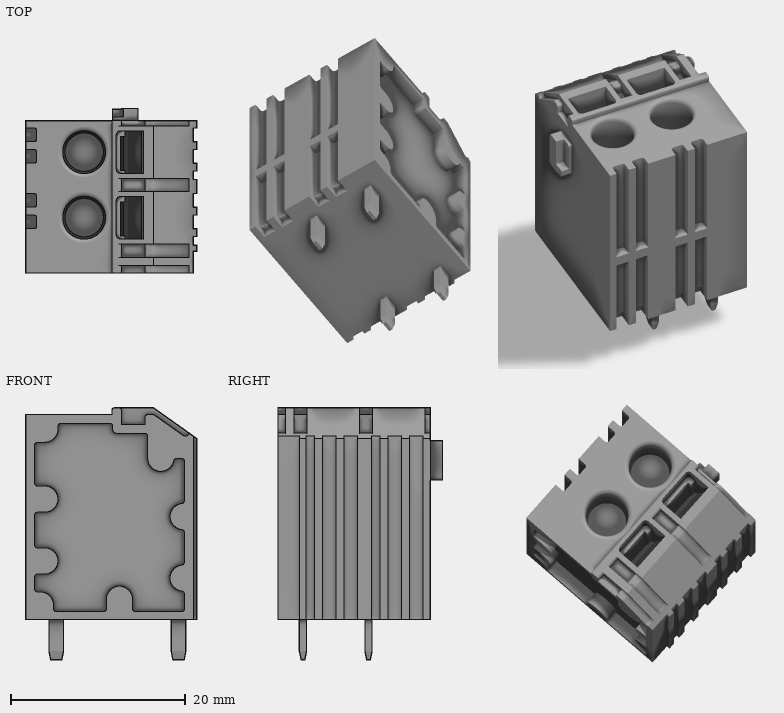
import cadquery as cq
import math


HOUSING_LENGTH = 19.2
HOUSING_WIDTH = 17.45
HOUSING_HEIGHT = 24.25
DECK_HEIGHT = 23.5
RIDGE_X = 9.87
SLOPE_START_X = 14.63
SLOPE_RATIO = 0.71
RIB_DEPTH = 0.4
OVERALL_LENGTH = HOUSING_LENGTH + RIB_DEPTH
RIDGE_ROUND = 0.3

PITCH = 7.5
FIRST_POLE_Y = 6.35
POLE_YS = [FIRST_POLE_Y, FIRST_POLE_Y + PITCH]

ENTRY_X = 6.7
ENTRY_DIAMETER = 4.9
ENTRY_FLOOR_DIAMETER = 4.4
ENTRY_STRAIGHT_DEPTH = 2.6
ENTRY_DEPTH = 5.0
ENTRY_ROUND = 0.5

POCKET_X_MIN = 10.37
POCKET_X_MAX = 13.48
POCKET_WIDTH = 4.85
POCKET_CORNER = 0.5
POCKET_FLOOR_Z = 20.5
SHELF_WIDTH = 0.22
WELL_BEND_X = 11.76
WELL_BEND_Z = 14.0
WELL_FOOT_X = 11.2
WELL_FOOT_Z = 12.9
WELL_X_MIN = 11.1
WELL_LIP_ROUND = 0.25
THROAT_X_MIN = 10.87
THROAT_BOTTOM_Z = 10.5
THROAT_WIDTH = 3.9
THROAT_POLE_OFFSET = -0.15

CHANNEL_X_MIN = 10.97
CHANNEL_X_MAX = 18.69
CHANNEL_FLOOR_Z = 22.36
CHANNEL_STEP_X = 13.66
CHANNEL_STEP_Z = DECK_HEIGHT
CHANNEL_STEP_ROUND = 0.35
CHANNEL_END_ROUND = 0.4
CHANNEL_BEND_RADIUS = 0.55
CHANNEL_WIDTH = 1.5
CHANNEL_POLE_OFFSET = 3.72
END_CHANNEL_WIDTH = 0.9

GROOVE_WIDTH = 1.55
GROOVE_DEPTH = 1.26
GROOVE_ROUND = 0.28
GROOVE_SPACING = 2.46
GROOVE_PAIR_OFFSET = 0.75
BRIDGE_Z_MIN = 9.64
BRIDGE_Z_MAX = 10.87
GROOVE_FOOT_HEIGHT = 1.13
GROOVE_FOOT_DEPTH = 1.8
GROOVE_YS = [
    pole_y + GROOVE_PAIR_OFFSET + side * GROOVE_SPACING / 2
    for pole_y in POLE_YS
    for side in (-1, 1)
]

RIBS_Y_MIN = 2.5
NARROW_GAP_WIDTH = 0.95
NARROW_GAP_OFFSET = -2.65

RECESS_DEPTH = 1.5
RECESS_LEFT = 1.03
RECESS_RIGHT = 18.17
RECESS_BOTTOM = 0.92
RECESS_TOP = 22.46
RECESS_STEP_X = 9.97
RECESS_STEP_Z = 21.33
RECESS_NOTCH_X = 13.97
RECESS_ROUND = 0.36
BOSS_RADIUS = 1.5
LEFT_BOSS_X = 2.21
LEFT_BOSS_ZS = (6.72, 13.8, 21.8)
RIGHT_BOSS_X = 18.02
RIGHT_BOSS_ZS = (4.76, 11.8)
BOTTOM_BOSS_X = 10.74
BOTTOM_BOSS_Z = 2.34
CORNER_BOSS_X = 1.7
CORNER_BOSS_Z = 1.68
NOTCH_BOSS_Z = 18.46
SHARP_SINE = 0.2
TOUCHING = 1e-4

LUG_X_MIN = 9.93
LUG_X_MAX = 12.87
LUG_Z_MIN = 15.98
LUG_Z_MAX = 20.5
LUG_THICKNESS = 1.4
LUG_ROUND = 0.35
LUG_NECK = 0.4
LUG_NOTCH_X = 11.2
LUG_NOTCH_Z = 16.97
LUG_STEP_X = 10.97
LUG_STEP = 0.08

PIN_XS = (3.5, 17.5)
PIN_POLE_OFFSET = -3.48
PIN_LENGTH = 4.6
PIN_TIP_LENGTH = 1.0
PIN_SIZE = (1.7, 0.85)
PIN_TIP_SIZE = (1.3, 0.43)
PIN_ROOT = 1.0


def box(x_min, x_max, y_min, y_max, z_min, z_max):
    size = (x_max - x_min, y_max - y_min, z_max - z_min)
    return cq.Workplane("XY").box(*size, centered=False).translate((x_min, y_min, z_min))


def prism(points, y_min, y_max):
    """Extrude an XZ outline from y_min to y_max."""
    outline = cq.Workplane("XZ", origin=(0, y_min, 0)).polyline(points).close()
    return outline.extrude(y_min - y_max)


def slope_z(x):
    return HOUSING_HEIGHT - SLOPE_RATIO * (x - SLOPE_START_X)


def edge_along_y(x, z):
    """Selector for the edge parallel to Y that runs through (x, z)."""
    reach = 0.05
    corners = ((x - reach, -HOUSING_WIDTH, z - reach), (x + reach, 2 * HOUSING_WIDTH, z + reach))
    return cq.selectors.BoxSelector(*corners)


def make_housing():
    outline = [
        (0, 0),
        (OVERALL_LENGTH, 0),
        (OVERALL_LENGTH, slope_z(OVERALL_LENGTH)),
        (SLOPE_START_X, HOUSING_HEIGHT),
        (RIDGE_X, HOUSING_HEIGHT),
        (RIDGE_X, DECK_HEIGHT),
        (0, DECK_HEIGHT),
    ]
    housing = prism(outline, 0, HOUSING_WIDTH)
    return housing.edges(edge_along_y(RIDGE_X, HOUSING_HEIGHT)).fillet(RIDGE_ROUND)


def rib_gap(y_min, y_max):
    return box(HOUSING_LENGTH, OVERALL_LENGTH, y_min, y_max, 0, HOUSING_HEIGHT)


def make_rib_gaps():
    gaps = rib_gap(0, RIBS_Y_MIN)
    for groove_y in GROOVE_YS:
        gaps = gaps.union(rib_gap(groove_y - GROOVE_WIDTH / 2, groove_y + GROOVE_WIDTH / 2))
    for pole_y in POLE_YS:
        gap_y = pole_y + NARROW_GAP_OFFSET
        gaps = gaps.union(rib_gap(gap_y - NARROW_GAP_WIDTH / 2, gap_y + NARROW_GAP_WIDTH / 2))
    return gaps


def make_groove(groove_y):
    """Groove split by a bridge, with a deeper foot whose bevelled roof ends the corner rounds."""
    y_min = groove_y - GROOVE_WIDTH / 2
    y_max = groove_y + GROOVE_WIDTH / 2
    upper = box(0, GROOVE_DEPTH, y_min, y_max, BRIDGE_Z_MAX, DECK_HEIGHT)
    lower = box(0, GROOVE_DEPTH, y_min, y_max, 0, BRIDGE_Z_MIN)
    foot_outline = [
        (0, 0),
        (GROOVE_FOOT_DEPTH, 0),
        (GROOVE_FOOT_DEPTH, GROOVE_FOOT_HEIGHT),
        (GROOVE_DEPTH, GROOVE_FOOT_HEIGHT),
        (GROOVE_DEPTH - GROOVE_ROUND, GROOVE_FOOT_HEIGHT - GROOVE_ROUND),
        (0, GROOVE_FOOT_HEIGHT - GROOVE_ROUND),
    ]
    foot = prism(foot_outline, y_min, y_max)
    upper = upper.edges("|Z and >X").fillet(GROOVE_ROUND)
    lower = lower.edges("|Z and >X").fillet(GROOVE_ROUND)
    return upper.union(lower).union(foot)


def make_wire_entry(pole_y):
    """Round-edged bore that narrows to a flat floor, as a revolved half section."""
    bore_radius = ENTRY_DIAMETER / 2
    mouth_radius = bore_radius + ENTRY_ROUND
    bend = ENTRY_ROUND * (1 - math.sqrt(0.5))
    section = (
        cq.Workplane("XZ", origin=(ENTRY_X, pole_y, DECK_HEIGHT))
        .moveTo(0, 0)
        .lineTo(mouth_radius, 0)
        .threePointArc((bore_radius + bend, -bend), (bore_radius, -ENTRY_ROUND))
        .lineTo(bore_radius, -ENTRY_STRAIGHT_DEPTH)
        .lineTo(ENTRY_FLOOR_DIAMETER / 2, -ENTRY_DEPTH)
        .lineTo(0, -ENTRY_DEPTH)
        .close()
    )
    return section.revolve(360, (0, 0, 0), (0, 1, 0))


def make_pocket(pole_y):
    """Actuator pocket with a sloping well and a narrower throat below its floor."""
    y_min = pole_y - POCKET_WIDTH / 2
    y_max = pole_y + POCKET_WIDTH / 2
    pocket = box(POCKET_X_MIN, POCKET_X_MAX, y_min, y_max, POCKET_FLOOR_Z, HOUSING_HEIGHT)
    pocket = pocket.edges("|Z and <X").fillet(POCKET_CORNER)

    shelf_corner = (POCKET_X_MAX - SHELF_WIDTH, POCKET_FLOOR_Z)
    bend = (WELL_BEND_X, WELL_BEND_Z)
    foot = (WELL_FOOT_X, WELL_FOOT_Z)
    lip_bend = WELL_LIP_ROUND * (1 - math.sqrt(0.5))
    lip_x = WELL_X_MIN + WELL_LIP_ROUND
    lip_middle = (lip_x - lip_bend, POCKET_FLOOR_Z - lip_bend)
    foot_slope = (WELL_BEND_Z - WELL_FOOT_Z) / (WELL_BEND_X - WELL_FOOT_X)
    lip_foot = (lip_x, WELL_FOOT_Z + foot_slope * (lip_x - WELL_FOOT_X))
    well = (
        cq.Workplane("XZ", origin=(0, y_min, 0))
        .polyline([lip_foot, bend, shelf_corner])
        .lineTo(WELL_X_MIN, POCKET_FLOOR_Z)
        .threePointArc(lip_middle, (lip_x, POCKET_FLOOR_Z - WELL_LIP_ROUND))
        .close()
        .extrude(-POCKET_WIDTH)
    )
    throat_bottom = (THROAT_X_MIN, THROAT_BOTTOM_Z)
    throat_top = (THROAT_X_MIN, POCKET_FLOOR_Z)
    throat_y = pole_y + THROAT_POLE_OFFSET
    throat = prism(
        [throat_bottom, foot, bend, shelf_corner, throat_top],
        throat_y - THROAT_WIDTH / 2,
        throat_y + THROAT_WIDTH / 2,
    )
    return pocket.union(well).union(throat)


def make_channel(y_min, y_max):
    """Stepped channel whose upper floor runs parallel to the sloping top."""
    floor_drop = HOUSING_HEIGHT - CHANNEL_STEP_Z
    end_floor_z = slope_z(CHANNEL_X_MAX) - floor_drop
    clear_z = HOUSING_HEIGHT + RIDGE_ROUND
    outline = [
        (CHANNEL_X_MIN, CHANNEL_FLOOR_Z),
        (CHANNEL_STEP_X, CHANNEL_FLOOR_Z),
        (CHANNEL_STEP_X, CHANNEL_STEP_Z),
        (SLOPE_START_X, CHANNEL_STEP_Z),
        (CHANNEL_X_MAX, end_floor_z),
        (CHANNEL_X_MAX, clear_z),
        (CHANNEL_X_MIN, clear_z),
    ]
    channel = prism(outline, y_min, y_max)
    channel = channel.edges(edge_along_y(CHANNEL_STEP_X, CHANNEL_STEP_Z)).fillet(CHANNEL_STEP_ROUND)
    channel = channel.edges(edge_along_y(SLOPE_START_X, CHANNEL_STEP_Z)).fillet(CHANNEL_BEND_RADIUS)
    channel = channel.edges(edge_along_y(CHANNEL_X_MAX, end_floor_z)).fillet(CHANNEL_END_ROUND)

    shoulder = box(
        CHANNEL_X_MIN - RIDGE_ROUND, CHANNEL_X_MIN, y_min, y_max, HOUSING_HEIGHT - RIDGE_ROUND, HOUSING_HEIGHT
    )
    rounding = (
        cq.Workplane("XZ", origin=(CHANNEL_X_MIN - RIDGE_ROUND, y_min, HOUSING_HEIGHT - RIDGE_ROUND))
        .circle(RIDGE_ROUND)
        .extrude(y_min - y_max)
    )
    return channel.union(shoulder.cut(rounding))


def make_channels():
    channels = make_channel(0, END_CHANNEL_WIDTH)
    for pole_y in [FIRST_POLE_Y - PITCH] + POLE_YS:
        channel_y = pole_y + CHANNEL_POLE_OFFSET
        y_min = channel_y - CHANNEL_WIDTH / 2
        y_max = min(channel_y + CHANNEL_WIDTH / 2, HOUSING_WIDTH)
        channels = channels.union(make_channel(y_min, y_max))
    return channels


def boss(x, z):
    circle = cq.Workplane("XZ", origin=(x, 0, z)).circle(BOSS_RADIUS)
    return circle.extrude(-RECESS_DEPTH)


def make_recess():
    """Shallow recess with rounded bosses left standing along its rim."""
    outline = [
        (RECESS_LEFT, RECESS_BOTTOM),
        (RECESS_RIGHT, RECESS_BOTTOM),
        (RECESS_RIGHT, NOTCH_BOSS_Z),
        (RECESS_NOTCH_X, NOTCH_BOSS_Z),
        (RECESS_NOTCH_X, RECESS_STEP_Z),
        (RECESS_STEP_X, RECESS_STEP_Z),
        (RECESS_STEP_X, RECESS_TOP),
        (RECESS_LEFT, RECESS_TOP),
    ]
    recess = prism(outline, 0, RECESS_DEPTH)

    for boss_z in LEFT_BOSS_ZS:
        web = box(0, LEFT_BOSS_X, 0, RECESS_DEPTH, boss_z - BOSS_RADIUS, boss_z + BOSS_RADIUS)
        recess = recess.cut(boss(LEFT_BOSS_X, boss_z)).cut(web)
    for boss_z in RIGHT_BOSS_ZS:
        recess = recess.cut(boss(RIGHT_BOSS_X, boss_z))

    bottom_web = box(
        BOTTOM_BOSS_X - BOSS_RADIUS, BOTTOM_BOSS_X + BOSS_RADIUS, 0, RECESS_DEPTH, 0, BOTTOM_BOSS_Z
    )
    recess = recess.cut(boss(BOTTOM_BOSS_X, BOTTOM_BOSS_Z)).cut(bottom_web)

    corner_side_web = box(0, CORNER_BOSS_X, 0, RECESS_DEPTH, 0, CORNER_BOSS_Z + BOSS_RADIUS)
    corner_foot_web = box(0, CORNER_BOSS_X + BOSS_RADIUS, 0, RECESS_DEPTH, 0, CORNER_BOSS_Z)
    recess = recess.cut(boss(CORNER_BOSS_X, CORNER_BOSS_Z)).cut(corner_side_web).cut(corner_foot_web)

    upper_boss_z = LEFT_BOSS_ZS[-1]
    upper_web = box(0, LEFT_BOSS_X + BOSS_RADIUS, 0, RECESS_DEPTH, upper_boss_z, RECESS_TOP)
    recess = recess.cut(upper_web)

    recess = recess.cut(boss(RECESS_NOTCH_X + BOSS_RADIUS, NOTCH_BOSS_Z))
    return round_recess_corners(recess)


def round_recess_corners(recess):
    """Fillet the sharp corners of the recess; edges where a boss runs on smoothly stay as they are."""
    rim_edges = recess.faces("<Y").edges().vals()
    sharp = []
    for edge in recess.edges("|Y").vals():
        corner = max(edge.startPoint(), edge.endPoint(), key=lambda point: -point.y)
        directions = []
        for side in rim_edges:
            if (side.startPoint() - corner).Length < TOUCHING:
                directions.append(side.tangentAt(0))
            elif (side.endPoint() - corner).Length < TOUCHING:
                directions.append(side.tangentAt(1))
        first, second = directions
        if first.cross(second).Length > SHARP_SINE:
            sharp.append(edge)
    return recess.newObject(sharp).fillet(RECESS_ROUND)


def make_lug():
    """Rounded lug with a corner notch, joined to the housing by a short neck."""
    back = HOUSING_WIDTH + LUG_THICKNESS
    lug = box(LUG_X_MIN, LUG_X_MAX, HOUSING_WIDTH, back, LUG_Z_MIN, LUG_Z_MAX)
    lug = lug.edges("|Y").fillet(LUG_ROUND)
    notch = box(LUG_X_MIN, LUG_NOTCH_X, HOUSING_WIDTH + LUG_NECK, back, LUG_NOTCH_Z, LUG_Z_MAX)
    notch = notch.edges("|Y and >X and <Z").fillet(LUG_ROUND)
    step = box(LUG_X_MIN, LUG_STEP_X, back - LUG_STEP, back, LUG_Z_MIN, LUG_Z_MAX)
    return lug.cut(notch).cut(step)


def make_pin(pin_x, pin_y):
    shank_end = PIN_TIP_LENGTH - PIN_LENGTH
    shank = (
        cq.Workplane("XY", origin=(pin_x, pin_y, shank_end))
        .rect(*PIN_SIZE)
        .extrude(PIN_ROOT - shank_end)
    )
    tip = (
        cq.Workplane("XY", origin=(pin_x, pin_y, -PIN_LENGTH))
        .rect(*PIN_TIP_SIZE)
        .workplane(offset=PIN_TIP_LENGTH)
        .rect(*PIN_SIZE)
        .loft()
    )
    return shank.union(tip)


result = make_housing().cut(make_rib_gaps()).cut(make_channels()).cut(make_recess())
for groove_center in GROOVE_YS:
    result = result.cut(make_groove(groove_center))
for pole_center in POLE_YS:
    result = result.cut(make_wire_entry(pole_center))
    result = result.cut(make_pocket(pole_center))
result = result.union(make_lug())
for pole_center in POLE_YS:
    for pin_center in PIN_XS:
        result = result.union(make_pin(pin_center, pole_center + PIN_POLE_OFFSET))